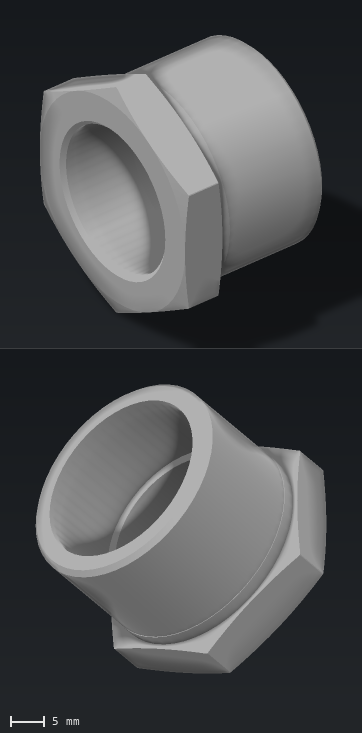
import cadquery as cq
import math

across_flats = 35.0
corner_diameter = 40.3
head_length = 7.0
corner_chamfer_length = 0.73

total_length = 27.0
collar_length = 2.0
collar_diameter = 33.45
shank_diameter = 33.25
shank_chamfer = 0.75

bore_diameter = 24.1
bore_chamfer = 0.7
bore_length = 13.0
rear_bore_diameter = 26.85


def cylinder(diameter, start, end):
    """Solid cylinder along Y between two stations."""
    plane = cq.Workplane("XZ", origin=(0, start, 0))
    return plane.circle(diameter / 2).extrude(start - end)


def make_head():
    """Hexagon with corners toward +Z and -Z, chamfered at both ends."""
    hexagon = (
        cq.Workplane("XZ")
        .polygon(6, across_flats / math.cos(math.pi / 6))
        .extrude(-head_length)
        .rotate((0, 0, 0), (0, 1, 0), 30)
    )
    face_radius = across_flats / 2
    corner_radius = corner_diameter / 2
    envelope = (
        cq.Workplane("XY")
        .moveTo(0, 0)
        .lineTo(face_radius, 0)
        .lineTo(corner_radius, corner_chamfer_length)
        .lineTo(corner_radius, head_length - corner_chamfer_length)
        .lineTo(face_radius, head_length)
        .lineTo(0, head_length)
        .close()
        .revolve(360, (0, 0, 0), (0, 1, 0))
    )
    return hexagon.intersect(envelope)


def make_shank():
    """Collar next to the head, then the shank with its chamfered end."""
    shank_start = head_length + collar_length
    collar = cylinder(collar_diameter, head_length, shank_start)
    shank = cylinder(shank_diameter, shank_start, total_length)
    return collar.union(shank.faces(">Y").chamfer(shank_chamfer))


def make_bore():
    """Through bore, chamfered at the head face and stepped wider toward the rear."""
    bore = cylinder(bore_diameter, 0, bore_length)
    rear_bore = cylinder(rear_bore_diameter, bore_length, total_length)
    mouth_diameter = bore_diameter + 2 * bore_chamfer
    mouth = (
        cq.Workplane("XZ")
        .circle(mouth_diameter / 2)
        .workplane(offset=-bore_chamfer)
        .circle(bore_diameter / 2)
        .loft()
    )
    return bore.union(mouth).union(rear_bore)


result = make_head().union(make_shank()).cut(make_bore())